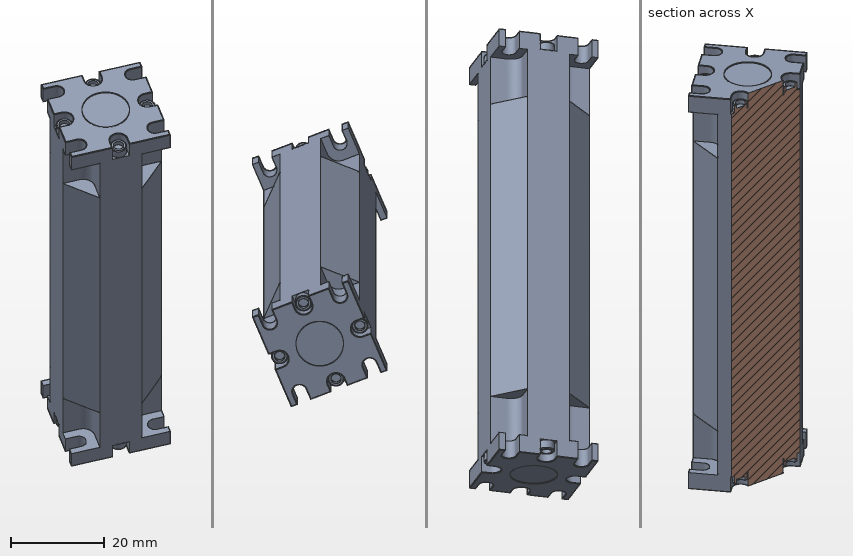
import cadquery as cq
import math

corner_span = 31.25
length = 97.79
side = corner_span / math.sqrt(2)
half_side = side / 2
half_length = length / 2
edge_chamfer = 0.15

side_count = 4
quarter_turn = 360 / side_count
z_axis = ((0, 0, 0), (0, 0, 1))

flange_thickness = 4.06
corner_cut = 6.35
pocket_length = 10.9
pocket_radius = 2.6

slot_width = 3.05
slot_depth = 4.1
slot_edge_distance = 2.95

notch_width = 3.75
notch_depth = 3.65
screw_center = 9.25
head_radius = 1.75
head_height = 1.95
head_chamfer = 0.2
socket_radius = 1.1
socket_depth = 1.0

recess_diameter = 10.16
recess_depth = 0.25


def open_slot(width, end_center):
    """Top outline of a slot that runs in +X from a round end out past the flange side."""
    radius = width / 2
    outside = side
    return (
        cq.Workplane("XY")
        .moveTo(outside, -radius)
        .lineTo(end_center, -radius)
        .threePointArc((end_center - radius, 0), (end_center, radius))
        .lineTo(outside, radius)
        .close()
    )


def mounting_slots():
    """The four slots that pass right through a flange, cut down from the end plane."""
    offset = half_side - slot_edge_distance
    end_center = half_side - slot_depth + slot_width / 2
    slot = open_slot(slot_width, end_center).extrude(-flange_thickness)
    slots = cq.Workplane("XY")
    for direction in (0, 2 * quarter_turn):
        for shift in (-offset, offset):
            slots = slots.add(slot.translate((0, shift, 0)).rotate(*z_axis, direction))
    return slots.combine()


def screw():
    """Cylindrical screw head with a round socket, standing on the notch floor."""
    return (
        cq.Workplane("XY", origin=(screw_center, 0, -notch_depth))
        .circle(head_radius)
        .extrude(head_height)
        .faces(">Z")
        .edges()
        .chamfer(head_chamfer)
        .faces(">Z")
        .workplane()
        .hole(2 * socket_radius, socket_depth)
    )


def end_half():
    """Upper half of the part: half of the body with one finished flange."""
    half = cq.Workplane("XY").rect(side, side).extrude(half_length)
    end_plane = (0, 0, half_length)

    half = half.cut(mounting_slots().translate(end_plane))
    notch = open_slot(notch_width, screw_center).extrude(-notch_depth).translate(end_plane)
    for quarter in range(side_count):
        half = half.cut(notch.rotate(*z_axis, quarter * quarter_turn))
    half = half.faces(">Z").edges().chamfer(edge_chamfer)

    body_top = half_length - flange_thickness
    flat = (
        cq.Workplane("XY")
        .moveTo(half_side, half_side)
        .lineTo(half_side - corner_cut, half_side)
        .lineTo(half_side, half_side - corner_cut)
        .close()
        .extrude(body_top)
    )
    pocket_center = half_side - corner_cut / 2
    pocket = (
        cq.Workplane("XY", origin=(pocket_center, pocket_center, body_top - pocket_length))
        .rect(corner_cut, corner_cut)
        .extrude(pocket_length)
        .edges("|Z and <X and <Y")
        .fillet(pocket_radius)
    )
    corner = flat.union(pocket)
    head = screw().translate(end_plane)
    for quarter in range(side_count):
        half = half.cut(corner.rotate(*z_axis, quarter * quarter_turn))
        half = half.union(head.rotate(*z_axis, quarter * quarter_turn))

    return half.faces(">Z").workplane(origin=end_plane).hole(recess_diameter, recess_depth)


upper_half = end_half()
lower_half = upper_half.mirror("XY")
result = upper_half.union(lower_half).clean().rotate(*z_axis, quarter_turn / 2)